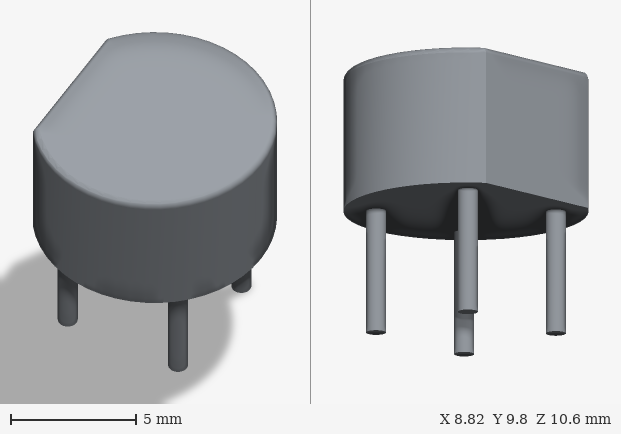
import cadquery as cq

body_diameter = 9.8
body_height = 5.6
flat_offset = 3.92
top_edge_radius = 0.25

pin_diameter = 0.8
pin_length = 5.0
pin_pitch = 5.08


def make_body():
    """Round can, cut by a flat on the -X side, with a rounded top rim."""
    can = cq.Workplane("XY").circle(body_diameter / 2).extrude(body_height)
    keep_block = (
        cq.Workplane("XY")
        .box(body_diameter, body_diameter, body_height, centered=(False, True, False))
        .translate((-flat_offset, 0, 0))
    )
    return can.intersect(keep_block).faces(">Z").edges().fillet(top_edge_radius)


def make_pins():
    """Four straight round pins hanging from the underside of the body."""
    return (
        cq.Workplane("XY")
        .rarray(pin_pitch, pin_pitch, 2, 2)
        .circle(pin_diameter / 2)
        .extrude(-pin_length)
    )


result = make_body().union(make_pins())